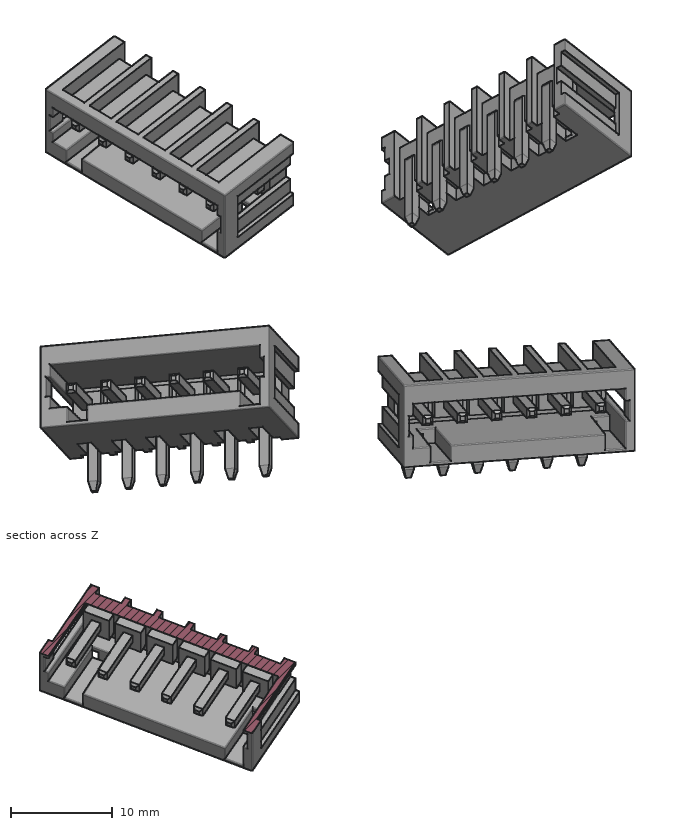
import cadquery as cq
import math

width = 23.4
depth = 10.3
height = 8.42
edge_radius = 0.1
tolerance = 0.002

draft_angle = 0.8
cavity_width = 21.4
cavity_floor = 1.97
cavity_ceiling = 6.44
cavity_back = 7.85

slot_width = 2.0
slot_floor = 0.4
slot_depth = 5.9
left_slot_start = -8.95

rim_depth = 1.97
recess_depth = 0.45
recess_bottom = 1.5
recess_top = height - recess_bottom
window_bottom = 3.2
window_top = 5.2
window_front_inset = 0.58
window_inset = 1.0

pin_count = 6
pin_row_length = 17.5
pin_pitch = pin_row_length / (pin_count - 1)
row_shift = -0.16
pin_size = 1.0
pin_tip_size = 0.5
contact_height = 4.25
contact_front = 1.1
contact_tip_length = 0.25
leg_centre = 9.34
leg_tip_length = 0.95
leg_length = 3.88

cell_width = 2.83
cell_rear = 9.48
top_pocket_front = 1.05
top_pocket_floor = 6.72
boss_front = 6.83
boss_bottom = 2.75
channel_width = 1.43
channel_top = 1.5

first_pin = row_shift - pin_row_length / 2
pin_positions = [first_pin + i * pin_pitch for i in range(pin_count)]


def block(x_range, y_range, z_range):
    """Axis-aligned box spanning three (low, high) ranges."""
    lows, highs = zip(x_range, y_range, z_range)
    sizes = [high - low for low, high in zip(lows, highs)]
    return cq.Workplane("XY").box(*sizes, centered=False).translate(lows)


def centred(middle, size):
    """(low, high) range of a given size about its middle."""
    return (middle - size / 2, middle + size / 2)


def inside_edges(span, y_range, z_range):
    """Selector for edges centred within a span along X and two (low, high) ranges."""
    lows = (-span / 2, y_range[0], z_range[0])
    highs = (span / 2, y_range[1], z_range[1])
    return cq.selectors.BoxSelector(
        tuple(low - tolerance for low in lows),
        tuple(high + tolerance for high in highs),
    )


def drafted_block(x_range, length, z_range):
    """Block running back from the front face, tapering inward by the draft angle."""
    (left, right), (bottom, top) = x_range, z_range
    centre = ((left + right) / 2, 0, (bottom + top) / 2)
    return (
        cq.Workplane(cq.Plane(centre, (1, 0, 0), (0, 1, 0)))
        .rect(right - left, top - bottom)
        .extrude(length, taper=draft_angle)
    )


def cut_cavity(body):
    """Cut the cavity and its floor slots, rounding the front rim and the slot edges."""
    opening = drafted_block(centred(0, cavity_width), cavity_back, (cavity_floor, cavity_ceiling))
    right_slot_start = cavity_width / 2 - slot_width
    slot_top = (cavity_floor + cavity_ceiling) / 2
    for start in (left_slot_start, right_slot_start):
        slot = drafted_block((start, start + slot_width), slot_depth, (slot_floor, slot_top))
        opening = opening.union(slot)
    rim_edges = inside_edges(cavity_width, (0, 0), (slot_floor, cavity_ceiling))
    draft_rise = cavity_back * math.tan(math.radians(draft_angle))
    inner_width = cavity_width - 4 * draft_rise
    floor_heights = (cavity_floor, cavity_floor + draft_rise)
    slot_edges = inside_edges(inner_width, (edge_radius, slot_depth), floor_heights)
    return body.cut(opening).edges(rim_edges + slot_edges).fillet(edge_radius)


def cut_window_fronts(body):
    """Cut the fronts of the latch windows beside the cavity and round their rims."""
    window_span = width - 2 * window_front_inset
    windows = block(centred(0, window_span), (0, cavity_back), (window_bottom, window_top))
    rims = inside_edges(window_span, (0, 0), (window_bottom, window_top))
    return body.cut(windows).edges(rims).fillet(edge_radius)


def side_cuts(side):
    """Shallow recess on one side, with a deeper latch window running to the rear."""
    def inward(inset):
        return sorted((side * width / 2, side * (width / 2 - inset)))

    recess = block(inward(recess_depth), (rim_depth, depth), (recess_bottom, recess_top))
    window = block(inward(window_inset), (rim_depth, depth), (window_bottom, window_top))
    return recess.union(window)


def cell_cuts(x):
    """Top pocket, open rear bay and leg channel belonging to one contact."""
    cell = centred(x, cell_width)
    pocket = block(cell, (top_pocket_front, depth), (top_pocket_floor, height))
    rear_bay = block(cell, (cell_rear, depth), (0, height))
    channel = block(centred(x, channel_width), (slot_depth, depth), (0, channel_top))
    return pocket.union(rear_bay).union(channel)


def boss(x):
    """Square pad on the cavity's back wall, around one contact."""
    return block(
        centred(x, cell_width),
        (boss_front, cavity_back),
        (boss_bottom, boss_bottom + cell_width),
    )


def tapered_tip(plane, length):
    """Square tip narrowing along the normal of its base plane."""
    return (
        cq.Workplane(plane)
        .rect(pin_size, pin_size)
        .workplane(offset=length)
        .rect(pin_tip_size, pin_tip_size)
        .loft(ruled=True)
    )


def contact(x):
    """Right-angle square pin with a rounded bend and two tapered tips."""
    leg_rear = leg_centre + pin_size / 2
    contact_top = contact_height + pin_size / 2
    arm_start = contact_front + contact_tip_length
    leg_end = leg_tip_length - leg_length
    span = centred(x, pin_size)
    arm = block(span, (arm_start, leg_rear), centred(contact_height, pin_size))
    leg = block(span, centred(leg_centre, pin_size), (leg_end, contact_top))
    bend = cq.selectors.NearestToPointSelector((x, leg_rear, contact_top))
    pin = arm.union(leg).edges("|X").edges(bend).fillet(pin_size / 2)
    front_base = cq.Plane((x, arm_start, contact_height), (1, 0, 0), (0, -1, 0))
    leg_base = cq.Plane((x, leg_centre, leg_end), (1, 0, 0), (0, 0, -1))
    pin = pin.union(tapered_tip(front_base, contact_tip_length))
    return pin.union(tapered_tip(leg_base, leg_tip_length))


housing = block(centred(0, width), (0, depth), (0, height)).edges().fillet(edge_radius)
housing = cut_window_fronts(cut_cavity(housing))
for side in (-1, 1):
    housing = housing.cut(side_cuts(side))
for x in pin_positions:
    housing = housing.cut(cell_cuts(x)).union(boss(x))

result = housing
for x in pin_positions:
    result = result.union(contact(x))